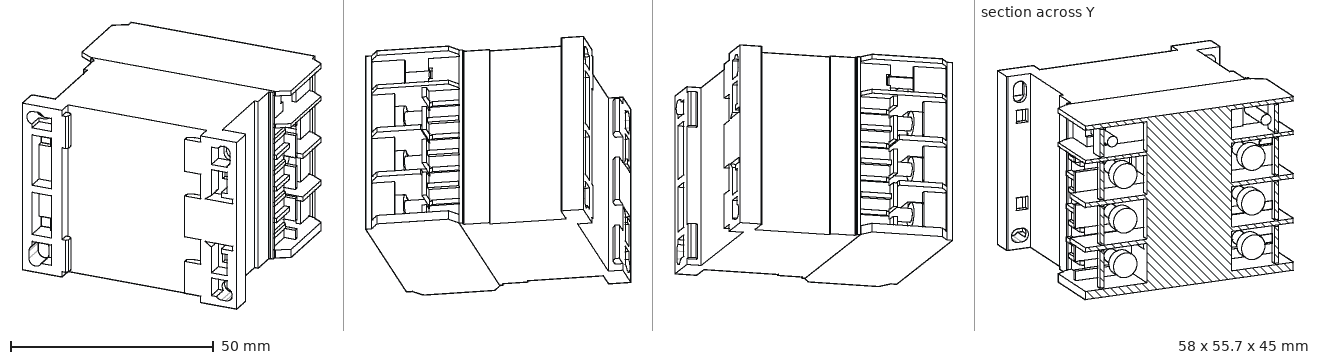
import cadquery as cq


HEIGHT = 45.0
MID_Z = HEIGHT / 2
HEAD_TOP_Y = 55.7
SPLIT_Y = 32.15

FOOT_HALF_X = 29.0
FOOT_Y = 5.6
FOOT_CHAMFER = 0.25
BODY_HALF_X = 22.6
WAIST_Y = 24.75
WAIST_HALF_X = 23.6
COLLAR_Y = 31.3
COLLAR_HALF_X = 24.7
LIP_HALF_X = 23.95
LIP_Y = 31.1
RAIL_LEFT_X = -18.25
RAIL_RIGHT_X = 19.2
RAIL_Y = 3.65

FIXED_CLIP_REACH = 1.55
FIXED_CLIP_Y = 2.45
FIXED_CLIP_CHAMFER = 0.6
FIXED_CLIP_LENGTH = 8.65
FIXED_CLIP_OFFSET = 16.7
SLIDE_CLIP_REACH = 4.3
SLIDE_CLIP_Y = 2.0
SLIDE_CLIP_TIP_Y = 1.1
SLIDE_CLIP_SLOPE_X = 1.75
SLIDE_CLIPS = [
    (-16.5, 8.65),
    (0, 11.0),
    (16.5, 8.65),
]

POCKET_DEPTH = 4.2
POCKET_OUTER_X = 26.4
LEFT_POCKET_INNER_X = 21.15
RIGHT_POCKET_INNER_X = 22.15
LEFT_POCKETS = [
    (2.65, 8.1),
    (10.05, 21.4),
    (23.3, 36.9),
    (38.8, 42.3),
]
RIGHT_END_POCKETS = [
    (2.45, 7.2),
    (37.8, 42.5),
]
HOOK_TOP = 13.9
HOOK_FOOT = 5.75
HOOK_ARM = 6.95
HOOK_NOTCH = 8.25
HOOK_POINT_X = 20.4
HOOK_NOTCH_X = 24.8
HOOK_ARM_X = 27.85

SLOT_X = 25.45
SLOT_WIDTH = 3.5
SHORT_SLOT = 4.6
LONG_SLOT = 5.45
MOUNTING_SLOTS = [
    (-SLOT_X, 41.5, SHORT_SLOT, 0),
    (-SLOT_X, 4.4, LONG_SLOT, 90),
    (SLOT_X, 40.6, LONG_SLOT, 90),
    (SLOT_X, 3.5, SHORT_SLOT, 0),
]
WINDOW_INNER_X = 23.3
WINDOWS = [
    (10.05, 13.3),
    (32.6, 35.9),
]

HEAD_HALF_X = 28.3
PLATE_LOW_Y = 34.1
PLATE_HIGH_Y = 52.1
PLATE_FOOT_HALF_X = 24.95
CAP_LEFT_X = -24.7
CAP_RIGHT_X = 25.05
CAP_Y = 54.2
BOTTOM_PLATE = (0, 2.2)
TOP_PLATE = (43.8, HEIGHT)
LONG_SEPARATOR = (35.15, 36.15)
SHORT_SEPARATORS = [
    (12.3, 13.5),
    (23.85, 25.05),
]
CEILING_Z = 42.9
CORE_HALF_X = 11.6

SHELF_Y = 41.05
WALL_HALF_X = 23.8
COIL_WALL_HALF_X = 23.3
COIL_LEDGE_Y = 40.2
COIL_LEDGE_DEPTH = 4.65

PAD_HALF_X = 24.3
PAD_THICKNESS = 1.15
PAD_GAP = 0.25
PAD_Y = 48.55
COIL_PAD_Y = 46.0
CORE_Y = 48.15

SCREW_X = 17.4
SCREW_COUNT = 3
SCREW_PITCH = 11.55
LOWEST_SCREW_Z = 7.5
SCREW_DIAMETER = 3.4
FLANGE_DIAMETER = 6.4
FLANGE_Y = 47.05
SCREW_TOP_Y = 49.9
COIL_SCREW_X = 20.9
COIL_SCREW_Z = 39.95
COIL_SCREW_DIAMETER = 2.7
COIL_RECESS_Y = 39.2

GAP_PITCH = 8.5
LOWEST_GAP_Z = 5.9
GAP_COUNT = 4
GAP_HEIGHT = 2.5
GAP_FLOOR_Y = 39.75
STRIP_HALF_X = 26.8
STRIP_Y = 39.95
RIB_THICKNESS = 1.15
THIN_RIB_HALF_X = 24.65
THIN_RIB_Y = 38.85
WIDE_RIB_HALF_X = 25.25

LOW_BAR_TOP_Z = 10.45
HIGH_BAR_Z = (28.65, 33.6)
HIGH_BAR_HALF_X = 10.45


def box(x, y, z):
    """A box from three (low, high) ranges, given in either order."""
    sizes = [abs(b - a) for a, b in (x, y, z)]
    return cq.Workplane("XY").box(*sizes, centered=False).translate((min(x), min(y), min(z)))


def prism(points, z_range):
    """An XY outline extruded over a range of Z."""
    low, high = z_range
    return cq.Workplane("XY").workplane(offset=low).polyline(points).close().extrude(high - low)


def centred(middle, length):
    return (middle - length / 2, middle + length / 2)


def base_profile():
    left = [
        (-FOOT_HALF_X, 0),
        (-FOOT_HALF_X, FOOT_Y - FOOT_CHAMFER),
        (-FOOT_HALF_X + FOOT_CHAMFER, FOOT_Y),
        (-BODY_HALF_X, FOOT_Y),
        (-BODY_HALF_X, WAIST_Y),
        (-WAIST_HALF_X, WAIST_Y),
        (-WAIST_HALF_X, LIP_Y),
        (-LIP_HALF_X, LIP_Y),
        (-LIP_HALF_X, COLLAR_Y),
        (-COLLAR_HALF_X, COLLAR_Y),
        (-COLLAR_HALF_X, SPLIT_Y),
    ]
    right = [(-x, y) for x, y in reversed(left)]
    rail = [
        (RAIL_RIGHT_X, 0),
        (RAIL_RIGHT_X, RAIL_Y),
        (RAIL_LEFT_X, RAIL_Y),
        (RAIL_LEFT_X, 0),
    ]
    return left + right + rail


def add_clips(base):
    tip = RAIL_LEFT_X + FIXED_CLIP_REACH
    fixed = [
        (RAIL_LEFT_X, 0),
        (tip - FIXED_CLIP_CHAMFER, 0),
        (tip, FIXED_CLIP_CHAMFER),
        (tip, FIXED_CLIP_Y - FIXED_CLIP_CHAMFER),
        (tip - FIXED_CLIP_CHAMFER, FIXED_CLIP_Y),
        (RAIL_LEFT_X, FIXED_CLIP_Y),
    ]
    for offset in (-FIXED_CLIP_OFFSET, FIXED_CLIP_OFFSET):
        base = base.union(prism(fixed, centred(MID_Z + offset, FIXED_CLIP_LENGTH)))
    tip = RAIL_RIGHT_X - SLIDE_CLIP_REACH
    sliding = [
        (RAIL_RIGHT_X, 0),
        (tip, 0),
        (tip, SLIDE_CLIP_TIP_Y),
        (tip + SLIDE_CLIP_SLOPE_X, SLIDE_CLIP_Y),
        (RAIL_RIGHT_X, SLIDE_CLIP_Y),
    ]
    for offset, length in SLIDE_CLIPS:
        base = base.union(prism(sliding, centred(MID_Z + offset, length)))
    return base


def hooked_pocket(side):
    """Pocket above (side 1) or below (side -1) mid height, with a pointed foot and a side arm."""
    outline = [
        (RIGHT_POCKET_INNER_X, HOOK_TOP),
        (POCKET_OUTER_X, HOOK_TOP),
        (POCKET_OUTER_X, HOOK_NOTCH),
        (HOOK_NOTCH_X, HOOK_NOTCH),
        (HOOK_NOTCH_X, HOOK_ARM),
        (HOOK_ARM_X, HOOK_ARM),
        (HOOK_ARM_X, HOOK_FOOT),
        (HOOK_POINT_X, HOOK_FOOT),
        (RIGHT_POCKET_INNER_X, HOOK_ARM),
    ]
    points = [(x, MID_Z + side * z) for x, z in outline]
    return cq.Workplane("XZ").polyline(points).close().extrude(-POCKET_DEPTH)


def cut_pockets(base):
    depth = (0, POCKET_DEPTH)
    for z_range in LEFT_POCKETS:
        base = base.cut(box((-POCKET_OUTER_X, -LEFT_POCKET_INNER_X), depth, z_range))
    for z_range in RIGHT_END_POCKETS:
        base = base.cut(box((RIGHT_POCKET_INNER_X, POCKET_OUTER_X), depth, z_range))
    for side in (-1, 1):
        base = base.cut(hooked_pocket(side))
        for z_range in WINDOWS:
            base = base.cut(box((side * WINDOW_INNER_X, side * POCKET_OUTER_X), (0, FOOT_Y), z_range))
    return base


def cut_mounting_slots(base):
    for x, z, length, angle in MOUNTING_SLOTS:
        slot = cq.Workplane("XZ").center(x, z).slot2D(length, SLOT_WIDTH, angle).extrude(-FOOT_Y)
        base = base.cut(slot)
    return base


def make_base():
    base = prism(base_profile(), (0, HEIGHT))
    base = add_clips(base)
    base = cut_pockets(base)
    return cut_mounting_slots(base)


def plate_profile():
    return [
        (-PLATE_FOOT_HALF_X, SPLIT_Y),
        (-HEAD_HALF_X, PLATE_LOW_Y),
        (-HEAD_HALF_X, PLATE_HIGH_Y),
        (CAP_LEFT_X, CAP_Y),
        (CAP_RIGHT_X, CAP_Y),
        (HEAD_HALF_X, PLATE_HIGH_Y),
        (HEAD_HALF_X, PLATE_LOW_Y),
        (PLATE_FOOT_HALF_X, SPLIT_Y),
    ]


def head_frame():
    """Cap, plates, the solid lower part and the core that joins the bays."""
    full_height = (0, HEIGHT)
    coil_bay = (LONG_SEPARATOR[0], HEIGHT)
    pole_bays = (0, LONG_SEPARATOR[1])
    core_x = (-CORE_HALF_X, CORE_HALF_X)

    frame = box((CAP_LEFT_X, CAP_RIGHT_X), (CAP_Y, HEAD_TOP_Y), full_height)
    frame = frame.union(box((-WALL_HALF_X, WALL_HALF_X), (SPLIT_Y, SHELF_Y), pole_bays))
    frame = frame.union(box((-COIL_WALL_HALF_X, COIL_WALL_HALF_X), (SPLIT_Y, COIL_LEDGE_Y), coil_bay))
    ledge_x = COIL_WALL_HALF_X - COIL_LEDGE_DEPTH
    frame = frame.union(box((-ledge_x, ledge_x), (SPLIT_Y, SHELF_Y), coil_bay))
    frame = frame.union(box(core_x, (CORE_Y, CAP_Y), full_height))
    frame = frame.union(box(core_x, (SHELF_Y, CAP_Y), (CEILING_Z, HEIGHT)))
    frame = frame.union(box(core_x, (SHELF_Y, CORE_Y), (0, LOW_BAR_TOP_Z)))
    high_bar_x = (-HIGH_BAR_HALF_X, HIGH_BAR_HALF_X)
    frame = frame.union(box(high_bar_x, (SHELF_Y, CORE_Y), HIGH_BAR_Z))

    for z_range in (BOTTOM_PLATE, LONG_SEPARATOR, TOP_PLATE):
        frame = frame.union(prism(plate_profile(), z_range))
    above_shelf = box((-HEAD_HALF_X, HEAD_HALF_X), (SHELF_Y, HEAD_TOP_Y), full_height)
    for z_range in SHORT_SEPARATORS:
        frame = frame.union(prism(plate_profile(), z_range).intersect(above_shelf))
    return frame


def add_pads(head, side):
    floors = [BOTTOM_PLATE[1]] + [high for _, high in SHORT_SEPARATORS] + [LONG_SEPARATOR[1]]
    ceilings = [low for low, _ in SHORT_SEPARATORS] + [LONG_SEPARATOR[0], TOP_PLATE[0]]
    ends = [PAD_Y, PAD_Y, PAD_Y, COIL_PAD_Y]
    x_range = (side * (PAD_HALF_X - PAD_THICKNESS), side * PAD_HALF_X)
    for floor, ceiling, end in zip(floors, ceilings, ends):
        head = head.union(box(x_range, (end, CAP_Y), (floor + PAD_GAP, ceiling - PAD_GAP)))
    return head


def gap_heights():
    return [LOWEST_GAP_Z + i * GAP_PITCH for i in range(GAP_COUNT)]


def add_terminal_strip(head, side):
    """Proud strip along the shelf, cut by gaps that run in to the core, with ribs on the wall below."""
    inner_x = side * CORE_HALF_X
    wall_x = side * WALL_HALF_X
    strip_z = (BOTTOM_PLATE[1], LONG_SEPARATOR[0])
    head = head.union(box((inner_x, side * STRIP_HALF_X), (STRIP_Y, SHELF_Y), strip_z))
    for z in gap_heights():
        gap_x = (inner_x, side * STRIP_HALF_X)
        head = head.cut(box(gap_x, (GAP_FLOOR_Y, SHELF_Y), centred(z, GAP_HEIGHT)))
        thin_rib = [
            (inner_x, SPLIT_Y),
            (side * THIN_RIB_HALF_X, SPLIT_Y),
            (side * THIN_RIB_HALF_X, THIN_RIB_Y),
            (wall_x, GAP_FLOOR_Y),
            (inner_x, GAP_FLOOR_Y),
        ]
        head = head.union(prism(thin_rib, centred(z, RIB_THICKNESS)))
    for z in gap_heights()[:-1]:
        rib_z = centred(z + GAP_PITCH / 2, RIB_THICKNESS)
        head = head.union(box((inner_x, side * WIDE_RIB_HALF_X), (SPLIT_Y, STRIP_Y), rib_z))
    return head


def rod(x, z, y_range, diameter):
    low, high = y_range
    return cq.Workplane("XZ", origin=(x, low, z)).circle(diameter / 2).extrude(low - high)


def add_screws(head, side):
    for i in range(SCREW_COUNT):
        z = LOWEST_SCREW_Z + i * SCREW_PITCH
        head = head.union(rod(side * SCREW_X, z, (SHELF_Y, SCREW_TOP_Y), SCREW_DIAMETER))
        head = head.union(rod(side * SCREW_X, z, (FLANGE_Y, SCREW_TOP_Y), FLANGE_DIAMETER))
    recess_x = (side * COIL_SCREW_X, side * COIL_WALL_HALF_X)
    recess_z = centred(COIL_SCREW_Z, COIL_SCREW_DIAMETER)
    head = head.cut(box(recess_x, (COIL_RECESS_Y, COIL_LEDGE_Y), recess_z))
    coil_screw = rod(side * COIL_SCREW_X, COIL_SCREW_Z, (COIL_LEDGE_Y, SCREW_TOP_Y), COIL_SCREW_DIAMETER)
    return head.union(coil_screw)


def make_head():
    head = head_frame()
    for side in (-1, 1):
        head = add_pads(head, side)
        head = add_terminal_strip(head, side)
        head = add_screws(head, side)
    return head


base = make_base()
head = make_head()
result = cq.Compound.makeCompound([base.solids().val(), head.solids().val()])